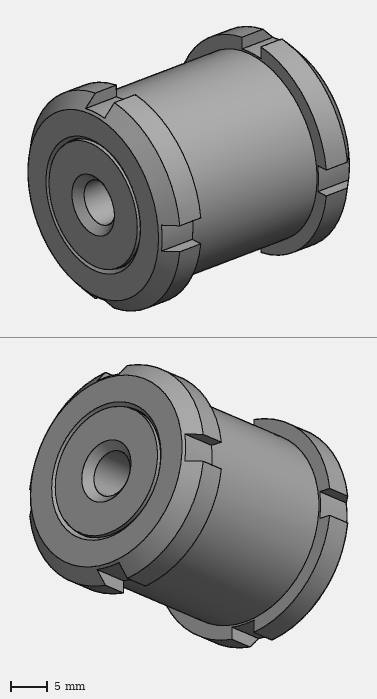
import cadquery as cq

LENGTH = 35.0
FLANGE_DIAMETER = 32.0
FLANGE_WIDTH = 6.0
BODY_DIAMETER = 27.8

FACE_DIAMETER = 27.7
BEVEL = (FLANGE_DIAMETER - FACE_DIAMETER) / 2

SLOT_COUNT = 4
SLOT_WIDTH = 4.0
SLOT_FLOOR_DIAMETER = 28.4

HOLE_DIAMETER = 6.6
COUNTERSINK_DIAMETER = 9.0
COUNTERSINK_DEPTH = (COUNTERSINK_DIAMETER - HOLE_DIAMETER) / 2

GROOVE_INNER_DIAMETER = 18.7
GROOVE_OUTER_DIAMETER = 18.92
GROOVE_MOUTH_DIAMETER = 20.0
GROOVE_BEVEL = (GROOVE_MOUTH_DIAMETER - GROOVE_OUTER_DIAMETER) / 2
GROOVE_DEPTH = 1.0

CUTTER_CLEARANCE = 1.0

HALF_LENGTH = LENGTH / 2


def turn(points):
    """Revolve a closed outline of (radius, position along Y) about the Y axis."""
    outline = cq.Workplane("XY").polyline(points).close()
    return outline.revolve(360, (0, 0, 0), (0, 1, 0))


def both_ends(feature):
    """Return a feature of the -Y end together with its mirror image at the +Y end."""
    return feature.union(feature.mirror("XZ"))


def make_spool():
    """Return the body, carrying a bevelled flange at each end."""
    rim = FLANGE_DIAMETER / 2
    face = FACE_DIAMETER / 2
    barrel = BODY_DIAMETER / 2
    barrel_end = HALF_LENGTH - FLANGE_WIDTH
    body = turn([
        (0, -barrel_end),
        (barrel, -barrel_end),
        (barrel, barrel_end),
        (0, barrel_end),
    ])
    flange = turn([
        (0, -HALF_LENGTH),
        (face, -HALF_LENGTH),
        (rim, -HALF_LENGTH + BEVEL),
        (rim, -HALF_LENGTH + FLANGE_WIDTH),
        (0, -HALF_LENGTH + FLANGE_WIDTH),
    ])
    return body.union(both_ends(flange))


def make_slots():
    """Return the slot cutters of the -Y flange."""
    inner = SLOT_FLOOR_DIAMETER / 2
    outer = FLANGE_DIAMETER / 2 + CUTTER_CLEARANCE
    ring = turn([
        (inner, -HALF_LENGTH),
        (outer, -HALF_LENGTH),
        (outer, -HALF_LENGTH + FLANGE_WIDTH),
        (inner, -HALF_LENGTH + FLANGE_WIDTH),
    ])
    bars = cq.Workplane("XY")
    for index in range(SLOT_COUNT // 2):
        bar = cq.Workplane("XY").box(2 * outer, LENGTH, SLOT_WIDTH)
        bars = bars.union(bar.rotate((0, 0, 0), (0, 1, 0), index * 360 / SLOT_COUNT))
    return ring.intersect(bars)


def make_groove():
    """Return the ring groove cutter of the -Y end face."""
    return turn([
        (GROOVE_INNER_DIAMETER / 2, -HALF_LENGTH),
        (GROOVE_MOUTH_DIAMETER / 2, -HALF_LENGTH),
        (GROOVE_OUTER_DIAMETER / 2, -HALF_LENGTH + GROOVE_BEVEL),
        (GROOVE_OUTER_DIAMETER / 2, -HALF_LENGTH + GROOVE_DEPTH),
        (GROOVE_INNER_DIAMETER / 2, -HALF_LENGTH + GROOVE_DEPTH),
    ])


def make_hole():
    """Return the through hole cutter, countersunk at both ends."""
    hole = HOLE_DIAMETER / 2
    mouth = COUNTERSINK_DIAMETER / 2
    return turn([
        (0, -HALF_LENGTH),
        (mouth, -HALF_LENGTH),
        (hole, -HALF_LENGTH + COUNTERSINK_DEPTH),
        (hole, HALF_LENGTH - COUNTERSINK_DEPTH),
        (mouth, HALF_LENGTH),
        (0, HALF_LENGTH),
    ])


result = make_spool()
result = result.cut(both_ends(make_slots()))
result = result.cut(both_ends(make_groove()))
result = result.cut(make_hole())